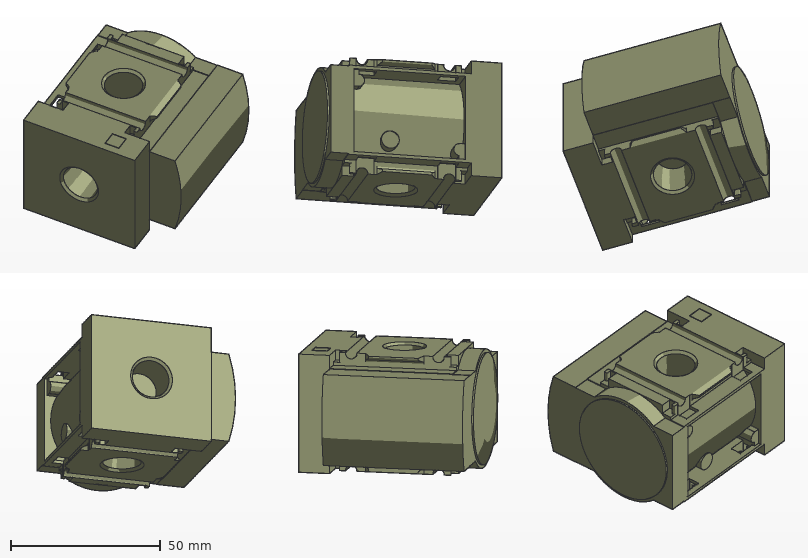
import cadquery as cq

half_width = 21.0
half_height = 20.1
front_end = -31.5
frame_half_length = 21.0
frame_half_height = 15.65

flange_end = 27.05
flange_half_height = 15.35
flange_diameter = 40.0
cap_rim_end = 27.65
cap_end = 28.9
cap_flat_diameter = 22.2
cap_bulge = 0.1

panel_half_height = 15.45
panel_edge_x = 30.6
panel_crest_x = 33.0

window_half_length = 19.1
window_half_height = 14.55
drum_diameter = 37.6

pin_diameter = 6.1
pin_face_x = -18.35
pin_y = 6.05
pin_z = -8.6
stop_radius = 2.2
stop_face_x = -20.0
stop_y = 17.45
stop_z = 10.95
stop_web_y = 17.1

pad_half_width = 15.2
groove_radius = 1.95
groove_y = 14.9
groove_axis_z = 20.0
notch_length = 3.8
notch_width = 3.55
notch_floor = 16.75
tab_length = 1.8
tab_width = 1.25
tab_round = 0.35

lug_reach = 17.3
lug_root_half_length = 9.95
lug_tip_half_length = 8.45
lug_root_bottom = 17.4
lug_fillet_x = 15.4
lug_fillet_z = 18.05
lug_round_x = 17.05
lug_round_z = 18.8
lug_tip_bottom = 19.15
lug_tip_top = 19.6

slot_outer_x = -18.9
slot_inner_x = -15.0
slot_near_y = 10.95
slot_far_y = 17.1

port_mouth_diameter = 14.7
port_top_diameter = 12.8
port_floor_diameter = 11.95
port_chamfer_depth = 0.9
port_depth = 13.3

label_size = 5.2
label_x = 10.9
label_y = -26.05
label_depth = 0.2

SIDES = (-1, 1)


def block(x_range, y_range, z_range):
    """Axis-aligned block between the given limits, each given in either order."""
    limits = [sorted(pair) for pair in (x_range, y_range, z_range)]
    sizes = [high - low for low, high in limits]
    start = tuple(low for low, high in limits)
    return cq.Workplane("XY").box(*sizes, centered=False).translate(start)


def y_cylinder(diameter, y_start, y_end):
    """Cylinder about the Y axis."""
    plane = cq.Workplane("XZ", origin=(0, y_start, 0))
    return plane.circle(diameter / 2).extrude(y_start - y_end)


def make_frame():
    front = block(
        (-half_width, half_width),
        (front_end, -frame_half_length),
        (-half_height, half_height),
    )
    frame = block(
        (-half_width, half_width),
        (-frame_half_length, frame_half_length),
        (-frame_half_height, frame_half_height),
    )
    return front.union(frame)


def make_rear():
    """Rear flange with its round shoulder, and the domed cap on it."""
    flange = block(
        (-half_width, half_width),
        (frame_half_length, flange_end),
        (-flange_half_height, flange_half_height),
    )
    shoulder = y_cylinder(flange_diameter, frame_half_length, flange_end)
    cap_radius = drum_diameter / 2
    cap = (
        cq.Workplane("XY")
        .moveTo(0, cap_end)
        .lineTo(cap_flat_diameter / 2, cap_end)
        .sagittaArc((cap_radius, cap_rim_end), cap_bulge)
        .lineTo(cap_radius, frame_half_length)
        .lineTo(0, frame_half_length)
        .close()
        .revolve(360, (0, 0, 0), (0, 1, 0))
    )
    return flange.union(shoulder).union(cap)


def make_panel():
    return (
        cq.Workplane("XZ", origin=(0, flange_end, 0))
        .moveTo(half_width, -panel_half_height)
        .lineTo(panel_edge_x, -panel_half_height)
        .threePointArc((panel_crest_x, 0), (panel_edge_x, panel_half_height))
        .lineTo(half_width, panel_half_height)
        .close()
        .extrude(flange_end + frame_half_length)
    )


def make_window():
    """Space around the drum that is open to the -X side."""
    window = block(
        (-half_width, 0),
        (-window_half_length, window_half_length),
        (-window_half_height, window_half_height),
    )
    return window.cut(y_cylinder(drum_diameter, -window_half_length, window_half_length))


def make_pins():
    """One round pin, and two end stops placed half a turn apart about the X axis."""
    pins = cq.Workplane("YZ", origin=(pin_face_x, 0, 0)).center(pin_y, pin_z)
    pins = pins.circle(pin_diameter / 2).extrude(-pin_face_x)
    for side in SIDES:
        plane = cq.Workplane("YZ", origin=(stop_face_x, 0, 0)).center(side * stop_y, side * stop_z)
        stop = plane.circle(stop_radius).extrude(-stop_face_x)
        web = block(
            (stop_face_x, 0),
            (side * stop_web_y, side * window_half_length),
            (side * (stop_z - stop_radius), side * window_half_height),
        )
        pins = pins.union(stop).union(web)
    return pins


def make_lugs():
    """Undercut lugs of the upper pad, trimmed to a tapered plan at both ends."""
    lugs = []
    for side in SIDES:
        profile = (
            cq.Workplane("XZ", origin=(0, lug_root_half_length, 0))
            .moveTo(0, lug_root_bottom)
            .lineTo(side * pad_half_width, lug_root_bottom)
            .lineTo(side * lug_fillet_x, lug_fillet_z)
            .lineTo(side * lug_round_x, lug_round_z)
            .tangentArcPoint((side * lug_reach, lug_tip_bottom), relative=False)
            .lineTo(side * lug_reach, lug_tip_top)
            .lineTo(side * pad_half_width, half_height)
            .lineTo(0, half_height)
            .close()
            .extrude(2 * lug_root_half_length)
        )
        plan = (
            cq.Workplane("XY")
            .moveTo(0, -lug_root_half_length)
            .lineTo(side * pad_half_width, -lug_root_half_length)
            .lineTo(side * lug_reach, -lug_tip_half_length)
            .lineTo(side * lug_reach, lug_tip_half_length)
            .lineTo(side * pad_half_width, lug_root_half_length)
            .lineTo(0, lug_root_half_length)
            .close()
            .extrude(half_height)
        )
        lugs.append(profile.intersect(plan))
    return lugs


def make_notch(x_side, y_side):
    """Corner notch of the upper pad, less the round-cornered tab left standing in it."""
    notch = block(
        (x_side * pad_half_width, x_side * (pad_half_width - notch_width)),
        (y_side * frame_half_length, y_side * (frame_half_length - notch_length)),
        (notch_floor, half_height),
    )
    tab_root = frame_half_length - notch_length
    tab = block(
        (x_side * pad_half_width, x_side * (pad_half_width - tab_width)),
        (y_side * tab_root, y_side * (tab_root + tab_length)),
        (notch_floor, half_height),
    )
    tab_end = ">Y" if y_side > 0 else "<Y"
    tab = tab.faces(tab_end).edges("|Z").fillet(tab_round)
    return notch.cut(tab)


def make_upper_pad():
    pad = block(
        (-pad_half_width, pad_half_width),
        (-frame_half_length, frame_half_length),
        (window_half_height, half_height),
    )
    for lug in make_lugs():
        pad = pad.union(lug)
    for y_side in SIDES:
        groove = cq.Workplane("YZ", origin=(-pad_half_width, 0, 0))
        groove = groove.center(y_side * groove_y, groove_axis_z).circle(groove_radius)
        pad = pad.cut(groove.extrude(2 * pad_half_width))
        for x_side in SIDES:
            pad = pad.cut(make_notch(x_side, y_side))
    return pad


def make_slots():
    slots = []
    for y_side in SIDES:
        for z_side in SIDES:
            slot = block(
                (slot_outer_x, slot_inner_x),
                (y_side * slot_near_y, y_side * slot_far_y),
                (z_side * window_half_height, z_side * half_height),
            )
            slots.append(slot)
    return slots


def make_port():
    """Blind tapered port with a chamfered mouth, open upwards at Z = 0."""
    return (
        cq.Workplane("XZ")
        .lineTo(port_mouth_diameter / 2, 0)
        .lineTo(port_top_diameter / 2, -port_chamfer_depth)
        .lineTo(port_floor_diameter / 2, -port_depth)
        .lineTo(0, -port_depth)
        .close()
        .revolve(360, (0, 0, 0), (0, 1, 0))
    )


upper_pad = make_upper_pad()
body = make_frame().union(make_rear()).union(make_panel())
body = body.cut(make_window()).union(make_pins())
body = body.union(upper_pad).union(upper_pad.mirror("XY"))
for slot in make_slots():
    body = body.cut(slot)

port = make_port()
top_port = port.translate((0, 0, half_height))
bottom_port = top_port.mirror("XY")
front_port = port.rotate((0, 0, 0), (1, 0, 0), 90).translate((0, front_end, 0))
body = body.cut(top_port).cut(bottom_port).cut(front_port)

label = cq.Workplane("XY", origin=(label_x, label_y, half_height)).rect(label_size, label_size)
result = body.cut(label.extrude(-label_depth))